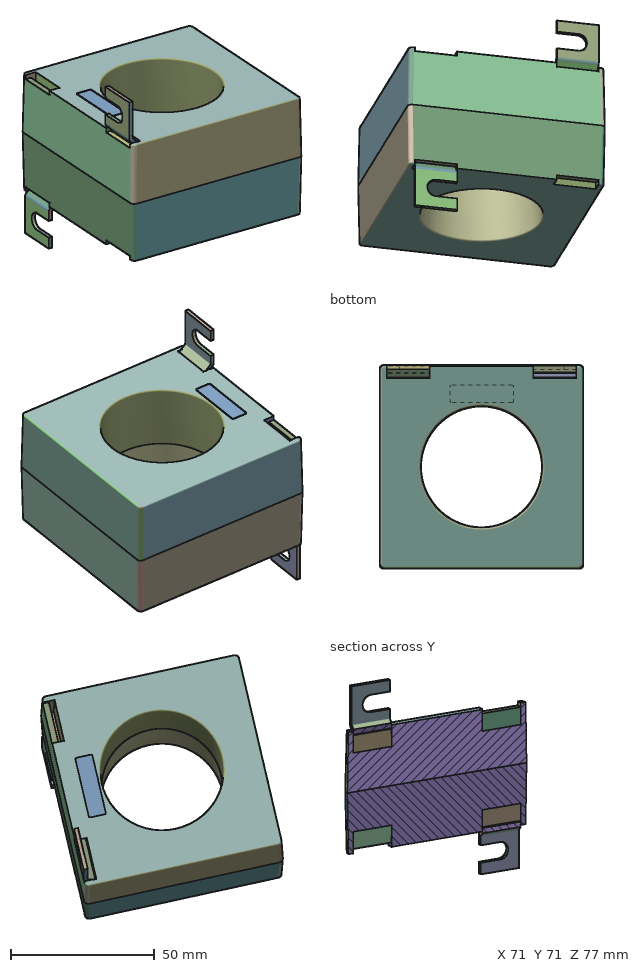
import cadquery as cq
import math

HOUSING_SIDE = 71.0
HALF_HEIGHT = 22.5
DRAFT = 1.0
CORNER_RADIUS = 1.55
EDGE_RADIUS = 0.5
BORE_RADIUS = 21.0

PANEL_LENGTH = 22.0
PANEL_WIDTH = 6.1
PANEL_Y = -25.5
PANEL_DEPTH = 0.15
PANEL_CORNER_RADIUS = 0.55

SHEET = 1.5
BRACKET_WIDTH = 15.1
BRACKET_X = 25.5
BRACKET_TIP_Z = 38.5
BRACKET_FRONT_Y = -35.4
BEND_Z = 23.7
BEND_ANGLE = 45.0
BEND_INSIDE_RADIUS = 0.2
BEND_OUTSIDE_RADIUS = BEND_INSIDE_RADIUS + SHEET
LEG_FRONT_Y = -32.65
LEG_BACK_Y = LEG_FRONT_Y + SHEET
LEG_END_Z = 6.15
SLOT_WIDTH = 6.4
SLOT_DEPTH = 10.8
SLOT_Z = 31.0

LEDGE_Z = 20.9
BRACKET_SIDES = (-1, 1)

DRAFT_SLOPE = math.tan(math.radians(DRAFT))
DRAFT_INSET = HALF_HEIGHT * DRAFT_SLOPE


def strip(profile):
    """Solid of bracket width from points (Y, Z), centred on X = 0."""
    return cq.Workplane("YZ").polyline(profile).close().extrude(BRACKET_WIDTH / 2, both=True)


def turned(body, angle):
    """The body turned by the angle in degrees about the Y axis."""
    return body.rotate((0, 0, 0), (0, 1, 0), angle)


def pocket(side):
    """Ledge and drafted socket that take a bracket on one side of the front wall."""
    wall_y = -HOUSING_SIDE / 2
    ledge_edge_y = LEG_FRONT_Y - (LEDGE_Z - LEG_END_Z) * DRAFT_SLOPE
    back_edge_y = LEG_BACK_Y + (HALF_HEIGHT - LEG_END_Z) * DRAFT_SLOPE
    profile = [
        (wall_y, HALF_HEIGHT),
        (wall_y, LEDGE_Z),
        (ledge_edge_y, LEDGE_Z),
        (LEG_FRONT_Y, LEG_END_Z),
        (LEG_BACK_Y, LEG_END_Z),
        (back_edge_y, HALF_HEIGHT),
    ]
    return strip(profile).translate((side * BRACKET_X, 0, 0))


def bore():
    """Conical bore, widest at the outer face, with a rounded mouth."""
    mouth_radius = BORE_RADIUS + DRAFT_INSET
    return (
        cq.Workplane("XZ")
        .moveTo(0, 0)
        .lineTo(BORE_RADIUS, 0)
        .lineTo(mouth_radius, HALF_HEIGHT - EDGE_RADIUS)
        .radiusArc((mouth_radius + EDGE_RADIUS, HALF_HEIGHT), EDGE_RADIUS)
        .lineTo(0, HALF_HEIGHT)
        .close()
        .revolve(360, (0, 0, 0), (0, 1, 0))
    )


def housing_half():
    """Upper half shell; the rim is rounded except along the front between the pockets."""
    half = (
        cq.Workplane("XY")
        .rect(HOUSING_SIDE, HOUSING_SIDE)
        .extrude(HALF_HEIGHT, taper=DRAFT)
        .edges("not(|X or |Y)")
        .fillet(CORNER_RADIUS)
    )
    for side in BRACKET_SIDES:
        half = half.cut(pocket(side))
    rim = half.faces(">Z").edges().edges(">X or <X or >Y")
    return rim.fillet(EDGE_RADIUS).cut(bore())


def label_panel():
    """Shallow rounded recess below the bore on the top face."""
    panel = cq.Workplane("XY").box(PANEL_LENGTH, PANEL_WIDTH, PANEL_DEPTH, centered=(True, True, False))
    panel = panel.edges("|Z").fillet(PANEL_CORNER_RADIUS)
    return panel.translate((0, PANEL_Y, HALF_HEIGHT - PANEL_DEPTH))


def round_bend(body, corner, radius):
    """Rounds the edge along X that passes through the point corner (Y, Z)."""
    return body.edges(cq.selectors.NearestToPointSelector((0, *corner))).fillet(radius)


def bracket():
    """Upper bracket: upright plate, sloped web and a leg set back in the housing."""
    slope = math.radians(BEND_ANGLE)
    miter = SHEET * math.tan(slope / 2)
    plate_back_y = BRACKET_FRONT_Y + SHEET
    leg_bend_z = BEND_Z - (LEG_FRONT_Y - BRACKET_FRONT_Y) / math.tan(slope)
    plate_front = (BRACKET_FRONT_Y, BEND_Z)
    plate_back = (plate_back_y, BEND_Z + miter)
    leg_front = (LEG_FRONT_Y, leg_bend_z)
    leg_back = (LEG_BACK_Y, leg_bend_z + miter)
    profile = [
        (BRACKET_FRONT_Y, BRACKET_TIP_Z),
        plate_front,
        leg_front,
        (LEG_FRONT_Y, LEG_END_Z),
        (LEG_BACK_Y, LEG_END_Z),
        leg_back,
        plate_back,
        (plate_back_y, BRACKET_TIP_Z),
    ]
    body = strip(profile)
    for corner in (plate_back, leg_front):
        body = round_bend(body, corner, BEND_INSIDE_RADIUS)
    for corner in (plate_front, leg_back):
        body = round_bend(body, corner, BEND_OUTSIDE_RADIUS)
    return body.translate((BRACKET_X, 0, 0)).cut(screw_slot())


def screw_slot():
    """Slot open towards -X with a round end."""
    open_x = BRACKET_X - BRACKET_WIDTH / 2
    end_x = open_x + SLOT_DEPTH
    straight_x = end_x - SLOT_WIDTH / 2
    low_z = SLOT_Z - SLOT_WIDTH / 2
    high_z = SLOT_Z + SLOT_WIDTH / 2
    return (
        cq.Workplane("XZ", origin=(0, BRACKET_FRONT_Y + SHEET, 0))
        .moveTo(open_x, low_z)
        .lineTo(straight_x, low_z)
        .threePointArc((end_x, SLOT_Z), (straight_x, high_z))
        .lineTo(open_x, high_z)
        .close()
        .extrude(SHEET)
    )


upper_housing = housing_half().cut(label_panel())
lower_housing = turned(housing_half(), 180)
brackets = []
for turn in (0, 180):
    brackets.append(turned(bracket(), turn).val())

result = cq.Compound.makeCompound([upper_housing.val(), lower_housing.val(), *brackets])